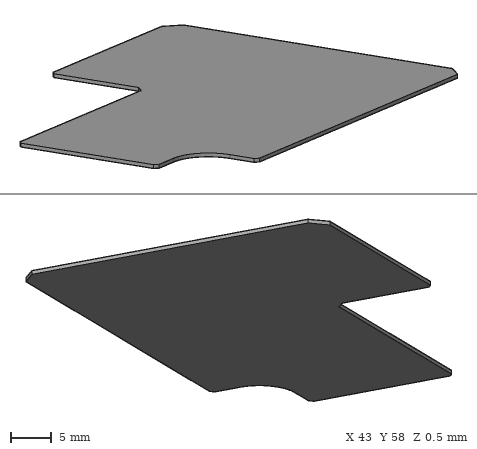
import cadquery as cq

width = 43.0
length = 58.0
thickness = 0.5

step_width = 13.75
step_height = 30.0
notch_size = 9.0

top_chamfer = 2.0
inner_chamfer = 1.0
notch_radius = 5.0
outer_chamfer = 0.5

right = width / 2
left = -right
top = length / 2
bottom = -top
step_x = left + step_width
step_y = bottom + step_height
notch_x = right - notch_size
notch_y = bottom + notch_size


def edge_at(x, y):
    """Select the upright edge of the plate at one outline corner."""
    return cq.selectors.NearestToPointSelector((x, y, 0))


def chamfer_corners(body, corners, size):
    """Chamfer the upright edge at each listed outline corner."""
    for x, y in corners:
        body = body.edges("|Z").edges(edge_at(x, y)).chamfer(size)
    return body


plate = (
    cq.Workplane("XY")
    .polyline([
        (left, top),
        (right, top),
        (right, notch_y),
        (notch_x, notch_y),
        (notch_x, bottom),
        (step_x, bottom),
        (step_x, step_y),
        (left, step_y),
    ])
    .close()
    .extrude(thickness / 2, both=True)
)

plate = chamfer_corners(plate, [(left, top), (right, top)], top_chamfer)

plate = chamfer_corners(plate, [(step_x, step_y)], inner_chamfer)
plate = plate.edges("|Z").edges(edge_at(notch_x, notch_y)).fillet(notch_radius)

small_corners = [
    (left, step_y),
    (step_x, bottom),
    (notch_x, bottom),
    (right, notch_y),
]
result = chamfer_corners(plate, small_corners, outer_chamfer)